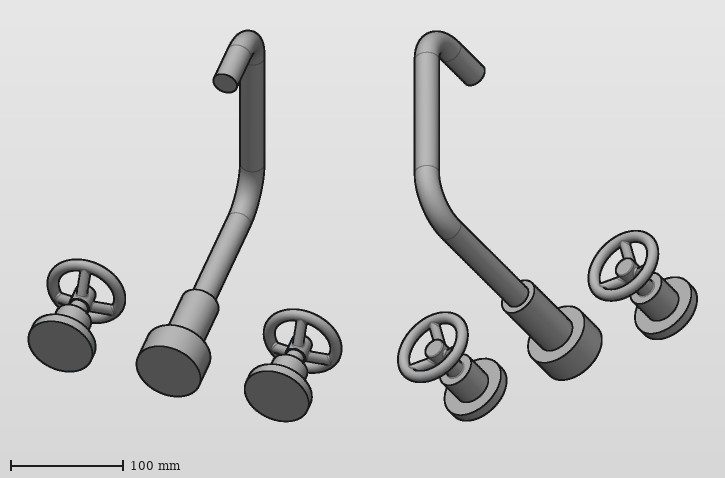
import cadquery as cq
import math

INCH = 25.4
Y_AXIS = cq.Vector(0, 1, 0)
OVERALL_DEPTH = 250.23
FLANGE_DIAMETER = 2.375 * INCH

SPOUT_BASE_HEIGHT = 1.125 * INCH
SPOUT_SLEEVE_DIAMETER = 1.375 * INCH
SPOUT_SLEEVE_END = 90.5
TUBE_DIAMETER = 0.875 * INCH
TUBE_BEND_RADIUS = 1.5 * INCH
TUBE_REACH = OVERALL_DEPTH - TUBE_DIAMETER / 2
TUBE_RISE = 8.25 * INCH
OUTLET_Y = 161.5

HANDLE_SPACING = 8 * INCH
HANDLE_FLANGE_HEIGHT = 0.375 * INCH
HANDLE_SLEEVE_DIAMETER = 33.3
HANDLE_SLEEVE_END = 37.5
STEM_DIAMETER = 16.5
STEM_BASE_FILLET = 0.8
HUB_DIAMETER = 0.75 * INCH
HUB_START = 53.5
WHEEL_DIAMETER = 2.875 * INCH
RIM_DIAMETER = 10.3
RIM_RADIUS = (WHEEL_DIAMETER - RIM_DIAMETER) / 2
RIM_Y = 74.2
HUB_END = 73.0
HUB_END_FILLET = 1.0
SPOKE_COUNT = 3
SPOKE_DIAMETER = 0.375 * INCH
SPOKE_AXIS_Y = 56.5
SPOKE_ROOT_RADIUS = 4.0
SPOKE_FILLET = 1.5


def cylinder(diameter, start, end):
    """Cylinder about the Y axis between two Y positions."""
    base_centre = cq.Vector(0, start, 0)
    return cq.Workplane(cq.Solid.makeCylinder(diameter / 2, end - start, base_centre, Y_AXIS))


def make_spout():
    base = cylinder(FLANGE_DIAMETER, 0, SPOUT_BASE_HEIGHT)
    sleeve = cylinder(SPOUT_SLEEVE_DIAMETER, SPOUT_BASE_HEIGHT, SPOUT_SLEEVE_END)

    bend_y = TUBE_REACH - TUBE_BEND_RADIUS
    upper_bend_z = TUBE_RISE - TUBE_BEND_RADIUS
    centreline = (
        cq.Workplane("YZ")
        .moveTo(SPOUT_SLEEVE_END, 0)
        .lineTo(bend_y, 0)
        .tangentArcPoint((TUBE_REACH, TUBE_BEND_RADIUS), relative=False)
        .lineTo(TUBE_REACH, upper_bend_z)
        .tangentArcPoint((bend_y, TUBE_RISE), relative=False)
        .lineTo(OUTLET_Y, TUBE_RISE)
    )
    tube_start = cq.Plane(origin=(0, SPOUT_SLEEVE_END, 0), xDir=(1, 0, 0), normal=(0, 1, 0))
    tube = cq.Workplane(tube_start).circle(TUBE_DIAMETER / 2).sweep(centreline)
    return base.union(sleeve).union(tube)


def make_spoke(index):
    """Round bar sloping from inside the hub out to the rim's centreline."""
    slope = (RIM_Y - SPOKE_AXIS_Y) / RIM_RADIUS
    root = cq.Vector(0, SPOKE_AXIS_Y + slope * SPOKE_ROOT_RADIUS, SPOKE_ROOT_RADIUS)
    rim_point = cq.Vector(0, RIM_Y, RIM_RADIUS)
    direction = rim_point - root
    bar = cq.Workplane(cq.Solid.makeCylinder(SPOKE_DIAMETER / 2, direction.Length, root, direction))
    return bar.rotate((0, 0, 0), (0, 1, 0), index * 360 / SPOKE_COUNT)


def curved_joints(body, inner_radius, outer_radius):
    """Edges where spokes meet another round surface, centred between two distances from the Y axis."""
    joints = []
    for edge in body.edges().vals():
        centre = edge.Center()
        distance = math.hypot(centre.x, centre.z)
        if edge.geomType() not in ("CIRCLE", "LINE") and inner_radius < distance < outer_radius:
            joints.append(edge)
    return body.newObject(joints)


def make_wheel():
    hub = cylinder(HUB_DIAMETER, HUB_START, HUB_END).rotate((0, 0, 0), (0, 1, 0), 180)
    hub = hub.faces(">Y").edges().fillet(HUB_END_FILLET)

    wheel = hub
    for index in range(SPOKE_COUNT):
        wheel = wheel.union(make_spoke(index))
    wheel = curved_joints(wheel, 0, HUB_DIAMETER).fillet(SPOKE_FILLET)

    rim_centre = cq.Vector(0, RIM_Y, 0)
    rim = cq.Workplane(cq.Solid.makeTorus(RIM_RADIUS, RIM_DIAMETER / 2, rim_centre, Y_AXIS))
    wheel = wheel.union(rim)
    return curved_joints(wheel, HUB_DIAMETER, RIM_RADIUS).fillet(SPOKE_FILLET)


def make_handle():
    flange = cylinder(FLANGE_DIAMETER, 0, HANDLE_FLANGE_HEIGHT)
    sleeve = cylinder(HANDLE_SLEEVE_DIAMETER, HANDLE_FLANGE_HEIGHT, HANDLE_SLEEVE_END)
    stem = cylinder(STEM_DIAMETER, HANDLE_SLEEVE_END, HUB_START)
    pedestal = flange.union(sleeve).union(stem)
    stem_foot = pedestal.edges(cq.selectors.RadiusNthSelector(0)).edges("<Y")
    return stem_foot.fillet(STEM_BASE_FILLET).union(make_wheel())


spout = make_spout()
handle = make_handle()
handles = [handle.translate((side * HANDLE_SPACING / 2, 0, 0)) for side in (-1, 1)]

result = cq.Compound.makeCompound([spout.val(), *[copy.val() for copy in handles]])